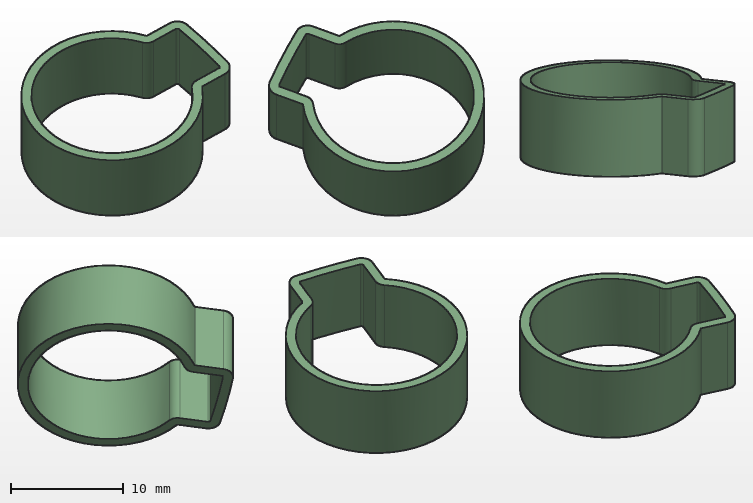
import cadquery as cq
import math


overall_length = 18.79
ring_diameter = 16.1
wall = 0.9
band_height = 7.0
ear_width = 8.0
crown_radius = 62.0
shoulder_radius = 1.1
neck_radius = 0.1

ring_radius = ring_diameter / 2
ear_top = overall_length - ring_radius
crown_center = ear_top - crown_radius


def band_fill(inset):
    """Solid filling the band outline, moved inward by inset from the outer face."""
    half_width = ear_width / 2 - inset
    ring = ring_radius - inset
    crown = crown_radius - inset
    shoulder_y = crown_center + math.sqrt(crown**2 - half_width**2)
    neck_y = math.sqrt(ring**2 - half_width**2)
    sharp = (
        cq.Workplane("XY")
        .moveTo(half_width, neck_y)
        .lineTo(half_width, shoulder_y)
        .threePointArc((0, crown_center + crown), (-half_width, shoulder_y))
        .lineTo(-half_width, neck_y)
        .threePointArc((0, -ring), (half_width, neck_y))
        .close()
        .extrude(band_height)
    )
    rounded_necks = sharp.edges("|Z").edges("<Y").fillet(neck_radius + inset)
    return rounded_necks.edges("|Z").edges(">Y").fillet(shoulder_radius - inset)


result = band_fill(0).cut(band_fill(wall))